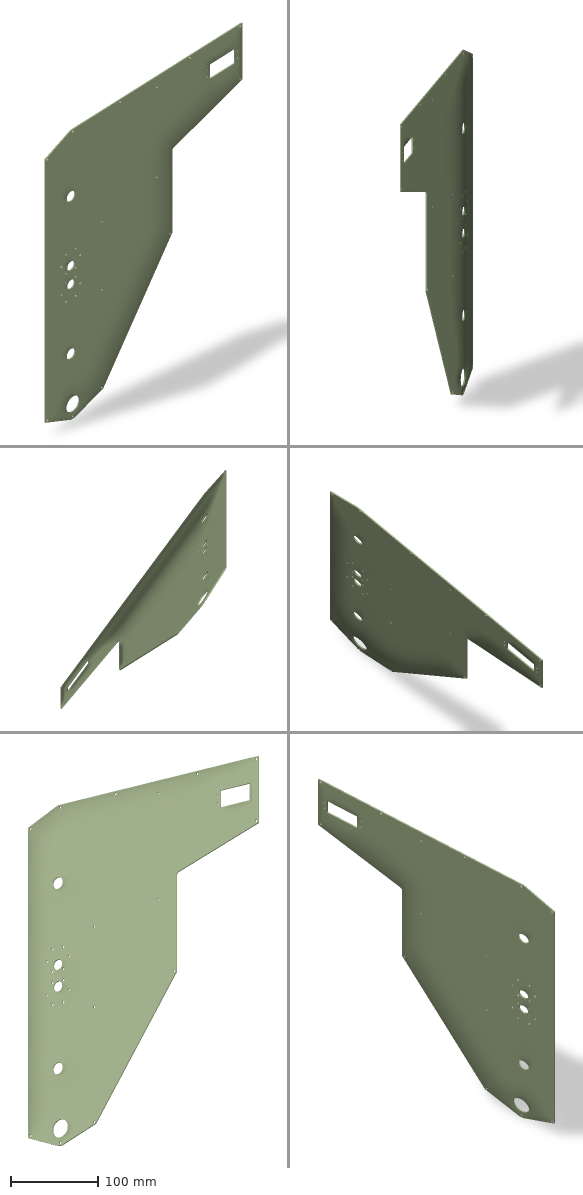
import cadquery as cq
import math

thickness = 1.57
width = 325.5
height = 414.0
mid_z = height / 2

long_edge_bottom = 18.5
long_edge_top = 395.0
top_slope_start_y = 42.2
arm_bottom_z = 332.5
notch_y = 210.0
notch_top_z = 296.3
notch_bottom_z = 176.5
foot_y = 95.5
foot_z = 16.0
tip_y = 45.5
tip_half_flat = 3.0
notch_radius = 3.5

rim_hole_diameter = 3.05
rim_inset = 3.5
rim_row_z = height - rim_inset
rim_holes = [
    (width - rim_inset, rim_row_z),
    (239.0, rim_row_z),
    (123.7, rim_row_z),
    (tip_y, rim_row_z),
    (rim_inset, 393.5),
    (rim_inset, 20.5),
    (tip_y, rim_inset),
    (93.5, 18.2),
    (notch_y - rim_inset, 177.5),
    (width - rim_inset, 335.5),
]

inner_hole_diameter = 2.8
inner_holes = [
    (184.0, 398.5),
    (184.0, 270.0),
    (93.5, mid_z + 49.0),
    (93.5, mid_z - 49.0),
]

axis_y = 42.2
motor_offset = 20.3
shaft_offset = 13.2
shaft_diameter = 12.5
motor_bolt_circle = 31.0
motor_bolt_count = 6
motor_bolt_diameter = 3.05

axle_offset = 112.5
axle_diameter = 14.0
foot_hole_z = 20.5
foot_hole_diameter = 21.5

servo_y = 292.5
servo_z = 373.0
servo_length = 41.5
servo_height = 20.5
servo_hole_span = 49.5
servo_hole_pitch = 10.0
servo_hole_diameter = 2.52


def cut_holes(plate, centres, diameter):
    holes = cq.Workplane("YZ").pushPoints(centres).circle(diameter / 2).extrude(thickness)
    return plate.cut(holes)


def make_blank():
    outline = [
        (0, long_edge_bottom),
        (0, long_edge_top),
        (top_slope_start_y, height),
        (width, height),
        (width, arm_bottom_z),
        (notch_y, notch_top_z),
        (notch_y, notch_bottom_z),
        (foot_y, foot_z),
        (tip_y + tip_half_flat, 0),
        (tip_y - tip_half_flat, 0),
    ]
    blank = cq.Workplane("YZ").polyline(outline).close().extrude(thickness)
    notch_corner = cq.selectors.NearestToPointSelector((thickness / 2, notch_y, notch_top_z))
    return blank.edges("|X").edges(notch_corner).fillet(notch_radius)


def cut_motor_mounts(plate):
    for side in (1, -1):
        motor_z = mid_z + side * motor_offset
        bolts = []
        for i in range(motor_bolt_count):
            angle = 2 * math.pi * i / motor_bolt_count
            bolt_y = axis_y + motor_bolt_circle / 2 * math.cos(angle)
            bolt_z = motor_z + motor_bolt_circle / 2 * math.sin(angle)
            bolts.append((bolt_y, bolt_z))
        plate = cut_holes(plate, bolts, motor_bolt_diameter)
        plate = cut_holes(plate, [(axis_y, mid_z + side * shaft_offset)], shaft_diameter)
    return plate


def cut_servo_mount(plate):
    window = (
        cq.Workplane("YZ")
        .center(servo_y, servo_z)
        .rect(servo_length, servo_height)
        .extrude(thickness)
    )
    screws = [
        (servo_y + end * servo_hole_span / 2, servo_z + side * servo_hole_pitch / 2)
        for end in (1, -1)
        for side in (1, -1)
    ]
    return cut_holes(plate.cut(window), screws, servo_hole_diameter)


result = make_blank()
result = cut_holes(result, rim_holes, rim_hole_diameter)
result = cut_holes(result, inner_holes, inner_hole_diameter)
result = cut_motor_mounts(result)
result = cut_servo_mount(result)
axle_holes = [(axis_y, mid_z + axle_offset), (axis_y, mid_z - axle_offset)]
result = cut_holes(result, axle_holes, axle_diameter)
result = cut_holes(result, [(tip_y, foot_hole_z)], foot_hole_diameter)